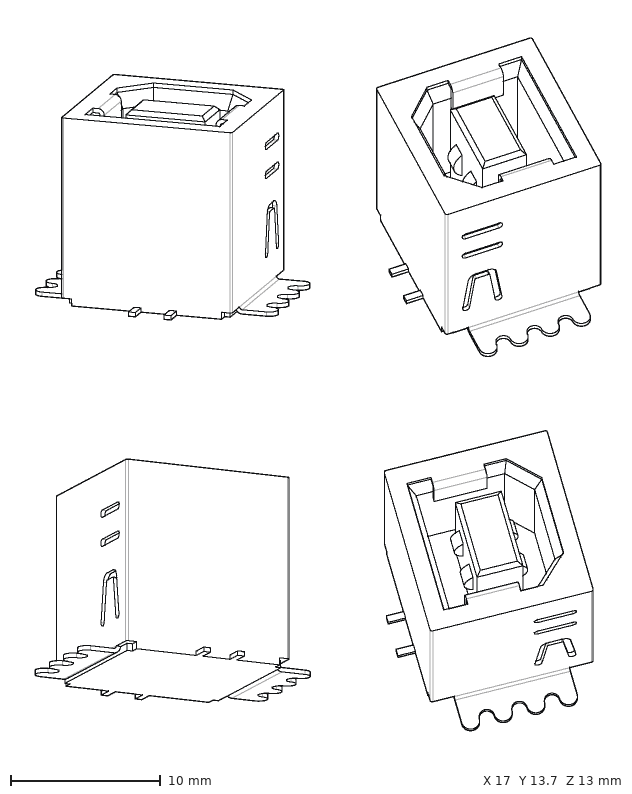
import cadquery as cq
import math

overall_width = 17.0
overall_depth = 13.7
overall_height = 13.0

shell_width = 12.0
shell_depth = 11.29
shell_bottom = 0.5
shell_corner_radius = 0.15
sheet = 0.3

foot_width = 11.3
foot_notch_x = 0.39
foot_notch_y = 0.68

pin_width = 0.5
pin_pitch = 2.5
pin_offset = 0.61

flange_width = 7.99
lobe_radius = 0.61
lobe_count = 4

rim_half_width = 4.73
rim_back = 4.42
rim_front = -4.37
rim_bevel = 1.94
wall_half_width = 4.23
wall_back = 3.88
wall_front = -3.88
wall_bevel = 1.63
lead_in_height = 1.02
cavity_depth = 9.01

tab_front = -2.72
tab_back = 0.95
tab_bend_start = 4.35
tab_drop = 2.36

tongue_width = 5.58
tongue_depth = 3.18
tongue_y = 0.025
tongue_chamfer = 0.3
contact_width = 1.0
contact_bulge = 0.61
contact_half_height = 1.05
contact_z = 8.84

slot_y = 3.0
slot_width = 0.5
slot_length = 2.9
slot_levels = (8.11, 10.12)
latch_foot_z = 2.62
latch_foot_half_span = 1.17
latch_top_z = 5.61
latch_top_half_span = 0.75
latch_outer_radius = 0.6
latch_inner_radius = 0.1

rim_bottom = overall_height - sheet
cavity_floor = overall_height - cavity_depth


def mirrored(solid):
    """The solid together with its mirror image across the YZ plane."""
    return solid.union(solid.mirror("YZ"))


def make_body():
    """Outer block with rounded upright edges, standing on the notched foot."""
    shell = (
        cq.Workplane("XY", origin=(0, 0, shell_bottom))
        .rect(shell_width, shell_depth)
        .extrude(overall_height - shell_bottom)
        .edges("|Z")
        .fillet(shell_corner_radius)
    )
    foot_long = cq.Workplane("XY").rect(foot_width - 2 * foot_notch_x, shell_depth).extrude(shell_bottom)
    foot_wide = cq.Workplane("XY").rect(foot_width, shell_depth - 2 * foot_notch_y).extrude(shell_bottom)
    return shell.union(foot_long).union(foot_wide)


def cavity_outline(half_width, back, front, bevel):
    """Rectangle whose two back corners are cut off at 45 degrees."""
    return [
        (-half_width, front),
        (half_width, front),
        (half_width, back - bevel),
        (half_width - bevel, back),
        (bevel - half_width, back),
        (-half_width, back - bevel),
    ]


def make_cavity():
    """Space removed for the plug, from the rim down to the floor."""
    rim = cavity_outline(rim_half_width, rim_back, rim_front, rim_bevel)
    wall = cavity_outline(wall_half_width, wall_back, wall_front, wall_bevel)
    opening = cq.Workplane("XY", origin=(0, 0, rim_bottom)).polyline(rim).close().extrude(sheet)
    lead_in = (
        cq.Workplane("XY", origin=(0, 0, rim_bottom))
        .polyline(rim)
        .close()
        .workplane(offset=-lead_in_height)
        .polyline(wall)
        .close()
        .loft(ruled=True)
    )
    well = cq.Workplane("XY", origin=(0, 0, cavity_floor)).polyline(wall).close()
    well = well.extrude(rim_bottom - lead_in_height - cavity_floor)
    return opening.union(lead_in).union(well)


def make_tabs():
    """Strips that leave the rim level, bend down and lie on the cavity walls."""
    face_x = wall_half_width - sheet
    outer_radius = tab_bend_start - face_x
    inner_radius = outer_radius - sheet
    bend_z = overall_height - outer_radius
    diagonal = math.sqrt(0.5)
    tab = (
        cq.Workplane("XZ", origin=(0, tab_back, 0))
        .moveTo(rim_half_width, overall_height)
        .lineTo(tab_bend_start, overall_height)
        .threePointArc(
            (tab_bend_start - outer_radius * diagonal, bend_z + outer_radius * diagonal),
            (face_x, bend_z),
        )
        .lineTo(face_x, overall_height - tab_drop)
        .lineTo(wall_half_width, overall_height - tab_drop)
        .lineTo(wall_half_width, bend_z)
        .threePointArc(
            (tab_bend_start - inner_radius * diagonal, bend_z + inner_radius * diagonal),
            (tab_bend_start, rim_bottom),
        )
        .lineTo(rim_half_width, rim_bottom)
        .close()
        .extrude(tab_back - tab_front)
    )
    return mirrored(tab)


def make_tongue():
    """Chamfered block rising from the floor, with two bulging contacts on each Y face."""
    tongue = (
        cq.Workplane("XY", origin=(0, tongue_y, cavity_floor))
        .rect(tongue_width, tongue_depth)
        .extrude(rim_bottom - cavity_floor)
        .faces(">Z")
        .edges()
        .chamfer(tongue_chamfer)
    )
    for side in (-1, 1):
        face_y = tongue_y + side * tongue_depth / 2
        for contact_x in (-pin_pitch / 2, pin_pitch / 2):
            contact = (
                cq.Workplane("YZ", origin=(contact_x, 0, 0))
                .moveTo(face_y, contact_z - contact_half_height)
                .threePointArc(
                    (face_y + side * contact_bulge, contact_z),
                    (face_y, contact_z + contact_half_height),
                )
                .close()
                .extrude(contact_width / 2, both=True)
            )
            tongue = tongue.union(contact)
    return tongue


def make_pins():
    """Two flat pins on each Y side, the pairs shifted opposite ways along X."""
    foot_face = shell_depth / 2
    pin_length = overall_depth / 2 - foot_face
    pins = cq.Workplane("XY")
    for side in (-1, 1):
        for step in (-0.5, 0.5):
            pin_x = -side * pin_offset + step * pin_pitch
            pin_y = side * (foot_face + pin_length / 2)
            pin = cq.Workplane("XY").center(pin_x, pin_y).rect(pin_width, pin_length).extrude(sheet)
            pins = pins.union(pin)
    return pins


def make_flanges():
    """Feet bent outward from the shell's X walls, with scalloped outer edges."""
    half_width = flange_width / 2
    wall_x = shell_width / 2
    bend_inner = shell_bottom - sheet
    bend_outer = shell_bottom
    bend_x = wall_x + bend_inner
    diagonal = math.sqrt(0.5)
    bend = (
        cq.Workplane("XZ")
        .moveTo(wall_x, shell_bottom)
        .threePointArc(
            (bend_x - bend_inner * diagonal, shell_bottom - bend_inner * diagonal),
            (bend_x, sheet),
        )
        .lineTo(bend_x, 0)
        .threePointArc(
            (bend_x - bend_outer * diagonal, shell_bottom - bend_outer * diagonal),
            (wall_x - sheet, shell_bottom),
        )
        .close()
        .extrude(half_width, both=True)
    )

    lobe_pitch = (flange_width - 2 * lobe_radius) / (lobe_count - 1)
    valley_radius = lobe_pitch / 2 - lobe_radius
    lobe_x = overall_width / 2 - lobe_radius
    plate = cq.Workplane("XY").moveTo(bend_x, -half_width).lineTo(lobe_x, -half_width)
    for index in range(lobe_count):
        lobe_y = -half_width + lobe_radius + index * lobe_pitch
        lobe_end = lobe_y + lobe_radius
        plate = plate.threePointArc((lobe_x + lobe_radius, lobe_y), (lobe_x, lobe_end))
        if index < lobe_count - 1:
            valley_y = lobe_end + valley_radius
            valley_end = valley_y + valley_radius
            plate = plate.threePointArc((lobe_x - valley_radius, valley_y), (lobe_x, valley_end))
    plate = plate.lineTo(bend_x, half_width).close().extrude(sheet)
    return mirrored(bend.union(plate))


def make_latch_slot(plane):
    """Slot shaped like an A without its bar: two splayed legs joined by a top."""
    radius = slot_width / 2
    rise = latch_top_z - latch_foot_z
    spread = latch_foot_half_span - latch_top_half_span
    leg_length = math.hypot(rise, spread)
    along_y = spread / leg_length
    along_z = rise / leg_length
    corner_shift = radius * (1 - along_y) / along_z

    def leg_end(side):
        """Outer, lowest and inner points of the rounded end of one leg."""
        outer = (side * (latch_foot_half_span + radius * along_z), latch_foot_z + radius * along_y)
        low = (side * (latch_foot_half_span + radius * along_y), latch_foot_z - radius * along_z)
        inner = (side * (latch_foot_half_span - radius * along_z), latch_foot_z - radius * along_y)
        return outer, low, inner

    left_outer, left_low, left_inner = leg_end(-1)
    right_outer, right_low, right_inner = leg_end(1)
    outer_top = latch_top_half_span + corner_shift
    inner_top = latch_top_half_span - corner_shift
    slot = (
        plane.center(slot_y, 0)
        .moveTo(*left_outer)
        .lineTo(-outer_top, latch_top_z + radius)
        .lineTo(outer_top, latch_top_z + radius)
        .lineTo(*right_outer)
        .threePointArc(right_low, right_inner)
        .lineTo(inner_top, latch_top_z - radius)
        .lineTo(-inner_top, latch_top_z - radius)
        .lineTo(*left_inner)
        .threePointArc(left_low, left_outer)
        .close()
        .extrude(sheet)
    )
    outer_zone = cq.selectors.BoxSelector(
        (-overall_width, -overall_depth, latch_top_z),
        (overall_width, overall_depth, overall_height),
    )
    inner_zone = cq.selectors.BoxSelector(
        (-overall_width, -overall_depth, latch_top_z - slot_width),
        (overall_width, overall_depth, latch_top_z),
    )
    slot = slot.edges("|X").edges(outer_zone).fillet(latch_outer_radius)
    return slot.edges("|X").edges(inner_zone).fillet(latch_inner_radius)


def make_side_slots():
    """Openings in the sheet of both X walls: two level slots above a latch slot."""
    plane = cq.Workplane("YZ", origin=(shell_width / 2 - sheet, 0, 0))
    level_centres = [(slot_y, level) for level in slot_levels]
    level_slots = plane.pushPoints(level_centres).slot2D(slot_length, slot_width).extrude(sheet)
    return mirrored(level_slots.union(make_latch_slot(plane)))


result = (
    make_body()
    .cut(make_cavity())
    .cut(make_side_slots())
    .union(make_tabs())
    .union(make_tongue())
    .union(make_pins())
    .union(make_flanges())
)